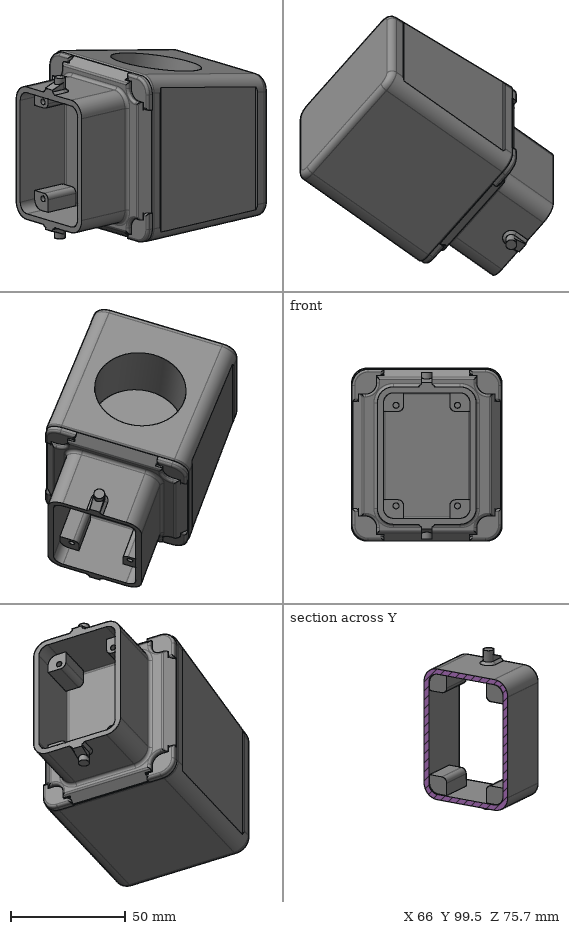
import cadquery as cq
import math


length = 99.5
half_width = 32.98
body_front = 31.4
roof_slope = 10.0
roof_front_height = 75.8
side_radius = 7.0
back_radius = 3.0
front_edge_radius = 0.7

panel_front = 36.6
panel_back = 91.9
panel_depth = 0.4
panel_bevel = 0.8

bore_diameter = 40.0
bore_depth = 26.9
bore_center_y = 62.7

shoulder_half_width = 32.6
shoulder_half_height = 37.5
shoulder_center_z = 37.6
shoulder_front = 26.8
shoulder_face_half_width = 28.0
shoulder_face_half_height = 33.7
shoulder_face_radius = 3.0
shoulder_edge_radius = 1.2

pad_front = 28.8
pad_width = 10.7
pad_height = 10.8
pad_inner_radius = 5.0
ear_reach_x = 13.9
ear_reach_z = 14.1
ear_thickness = 2.8
pad_edge_radius = 1.2

neck_half_width = 21.6
neck_half_height = 30.0
neck_center_z = 37.4
neck_radius = 7.0
neck_root_radius = 1.5
cavity_half_width = 18.9
cavity_half_height = 27.5
cavity_radius = 4.4
cavity_depth = 26.5
cavity_floor_radius = 0.6

post_front = 8.5
post_back = 24.8
post_inner_x = 10.1
post_inner_z = 19.3
post_radius = 2.5
screw_x = 13.4
screw_z = 22.0
screw_diameter = 2.6
screw_depth = 8.0

stud_y = 6.4
stud_radius = 2.4
stud_top = 36.4
base_radius = 3.8
base_height = 1.2
ramp_back_height = 34.3
ramp_front_height = 32.0

overlap = 1.0

roof_angle = math.radians(roof_slope)


def front_plane(y, z=0.0):
    """XZ plane at the given Y; extrusions from it run toward +Y."""
    return cq.Plane(origin=(0, y, z), xDir=(-1, 0, 0), normal=(0, 1, 0))


def four_corners(make_corner, center_z):
    """Copies of a +X, +Z corner feature, mirrored about X = 0 and center_z."""
    right = make_corner().val().moved(cq.Location(cq.Vector(0, 0, center_z)))
    left = right.mirror("YZ")
    corners = [right, left]
    corners += [c.mirror("XY", (0, 0, center_z)) for c in (right, left)]
    return corners


def join(base, solids):
    for solid in solids:
        base = base.union(cq.Workplane(solid))
    return base


def make_body():
    roof_back_height = roof_front_height - (length - body_front) * math.tan(roof_angle)
    body = (
        cq.Workplane("YZ")
        .polyline([
            (body_front, 0),
            (length, 0),
            (length, roof_back_height),
            (body_front, roof_front_height),
        ])
        .close()
        .extrude(half_width, both=True)
    )
    body = body.edges("(<X or >X) and (not |Z) and (not |X)").fillet(side_radius)
    body = body.faces(">Y").edges().fillet(back_radius)
    return body.faces("<Y").edges().fillet(front_edge_radius)


def make_side_panel():
    """Cutter for the +X panel; its front and back walls lean outward."""
    inner_x = half_width - panel_depth
    outer_x = half_width + panel_depth
    return (
        cq.Workplane("XY")
        .polyline([
            (inner_x, panel_front),
            (inner_x, panel_back),
            (outer_x, panel_back + 2 * panel_bevel),
            (outer_x, panel_front - 2 * panel_bevel),
        ])
        .close()
        .extrude(length)
    )


def make_bore():
    roof_z = roof_front_height - (bore_center_y - body_front) * math.tan(roof_angle)
    bore_plane = cq.Plane(
        origin=(0, bore_center_y, roof_z),
        xDir=(1, 0, 0),
        normal=(0, math.sin(roof_angle), math.cos(roof_angle)),
    )
    bore = cq.Workplane(bore_plane).workplane(offset=-bore_depth)
    return bore.circle(bore_diameter / 2).extrude(bore_depth + overlap)


def make_pad_outline(y_start, y_end):
    """The +X, +Z pad with an ear along each outer side, heights from the shoulder axis."""
    inner_x = shoulder_half_width - pad_width
    inner_z = shoulder_half_height - pad_height

    def block(x_start, z_start):
        size_x = shoulder_half_width - x_start
        size_z = shoulder_half_height - z_start
        solid = cq.Workplane("XY").box(size_x, y_end - y_start, size_z, centered=False)
        return solid.translate((x_start, y_start, z_start))

    pad = block(inner_x, inner_z).edges("|Y and <X and <Z").fillet(pad_inner_radius)
    side_ear = block(shoulder_half_width - ear_thickness, shoulder_half_height - ear_reach_z)
    top_ear = block(shoulder_half_width - ear_reach_x, shoulder_half_height - ear_thickness)
    outline = pad.union(side_ear).union(top_ear)
    return outline.edges("|Y and >X and >Z").fillet(side_radius)


def make_pad():
    pad = make_pad_outline(pad_front, body_front + overlap)
    return pad.faces("<Y").edges("<X or >X or <Z or >Z").fillet(pad_edge_radius)


def make_shoulder():
    depth = body_front - shoulder_front
    root = cq.Sketch().rect(2 * shoulder_half_width, 2 * shoulder_half_height)
    root = root.vertices().fillet(side_radius)
    face = cq.Sketch().rect(2 * shoulder_face_half_width, 2 * shoulder_face_half_height)
    face = face.vertices().fillet(shoulder_face_radius)
    shoulder = (
        cq.Workplane("XZ", origin=(0, body_front, shoulder_center_z))
        .placeSketch(root, face.moved(cq.Location(cq.Vector(0, 0, depth))))
        .loft(ruled=True)
    )
    for pocket in four_corners(lambda: make_pad_outline(0, pad_front), shoulder_center_z):
        shoulder = shoulder.cut(cq.Workplane(pocket))
    shoulder = shoulder.faces("<Y").edges().fillet(shoulder_edge_radius)
    return join(shoulder, four_corners(make_pad, shoulder_center_z))


def rounded_prism(half_x, half_z, radius, y, depth):
    return (
        cq.Workplane(front_plane(y, neck_center_z))
        .sketch()
        .rect(2 * half_x, 2 * half_z)
        .vertices()
        .fillet(radius)
        .finalize()
        .extrude(depth)
    )


def make_neck():
    return rounded_prism(neck_half_width, neck_half_height, neck_radius, 0, shoulder_front)


def make_cavity():
    cavity = rounded_prism(cavity_half_width, cavity_half_height, cavity_radius, 0, cavity_depth)
    return cavity.faces(">Y").edges().fillet(cavity_floor_radius)


def make_post():
    size_x = neck_half_width - post_inner_x
    size_z = neck_half_height - post_inner_z
    depth = post_back - post_front
    post = cq.Workplane("XY").box(size_x, depth, size_z, centered=False)
    post = post.translate((post_inner_x, post_front, post_inner_z))
    post = post.edges("|Y and <X and <Z").fillet(post_radius)
    screw_hole = (
        cq.Workplane(front_plane(post_front))
        .center(-screw_x, screw_z)
        .circle(screw_diameter / 2)
        .extrude(screw_depth)
    )
    return post.cut(screw_hole)


def make_stud():
    """Upper locking stud, heights from the neck axis."""
    base_bottom = neck_half_height
    base = (
        cq.Workplane("XY", origin=(0, 0, base_bottom))
        .moveTo(-base_radius, -base_radius)
        .lineTo(-base_radius, stud_y)
        .threePointArc((0, stud_y + base_radius), (base_radius, stud_y))
        .lineTo(base_radius, -base_radius)
        .close()
        .extrude(base_height, taper=math.degrees(math.atan((base_radius - stud_radius) / base_height)))
    )
    in_front = cq.Workplane("XY").box(length, length, length).translate((0, -length / 2, 0))
    pin = (
        cq.Workplane("XY", origin=(0, stud_y, base_bottom - overlap))
        .circle(stud_radius)
        .extrude(stud_top - base_bottom + overlap)
    )
    ramp = (
        cq.Workplane("YZ")
        .polyline([
            (0, base_bottom - overlap),
            (0, ramp_front_height),
            (stud_y, ramp_back_height),
            (stud_y, base_bottom - overlap),
        ])
        .close()
        .extrude(stud_radius, both=True)
    )
    return base.cut(in_front).union(pin).union(ramp)


body = make_body()
panel = make_side_panel()
body = body.cut(panel).cut(panel.mirror("YZ"))
body = body.cut(make_bore())
body = body.union(make_shoulder())
body = body.union(make_neck())
root_edges = cq.selectors.BoxSelector(
    (-neck_half_width - 0.1, shoulder_front - 0.1, neck_center_z - neck_half_height - 0.1),
    (neck_half_width + 0.1, shoulder_front + 0.1, neck_center_z + neck_half_height + 0.1),
)
body = body.edges(root_edges).fillet(neck_root_radius)

cavity = make_cavity()
for post in four_corners(make_post, neck_center_z):
    cavity = cavity.cut(cq.Workplane(post))
body = body.cut(cavity)
stud = make_stud().val().moved(cq.Location(cq.Vector(0, 0, neck_center_z)))
body = join(body, [stud, stud.mirror("XY", (0, 0, neck_center_z))])

result = body